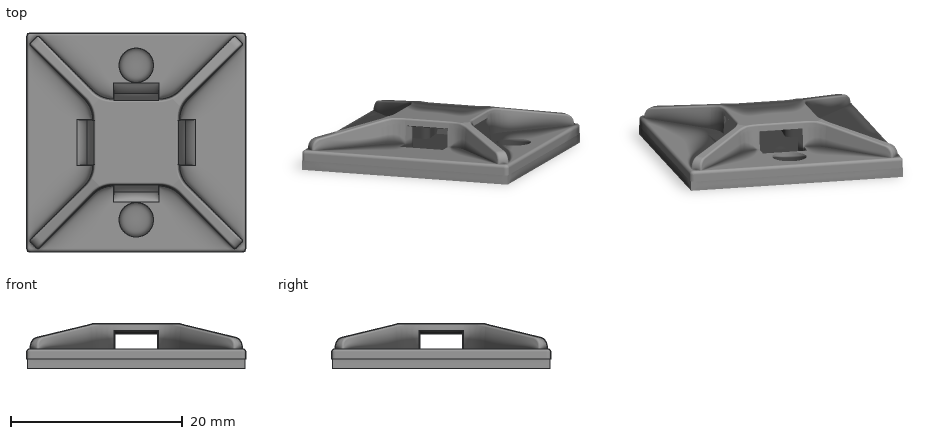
import cadquery as cq
import math

base_side = 25.53
overall_height = 5.25
pad_side = 25.4
pad_thickness = 1.1

base_thickness = 1.2
base_top = pad_thickness + base_thickness
base_corner_radius = 0.45
base_rim_radius = 0.36

dome_half_side = 5.16
rib_half_width = 0.8
wall_draft = 4
neck_radius = 3.2
edge_radius = 0.22
rib_slope = 9.8
rib_slope_start = 6.6
rib_end = 16.92
rib_end_radius = 1.15
rib_blank_end = rib_end + 0.5
dome_height = overall_height - pad_thickness

floor_height = 1.35
throat_distance = 3.3
mouth_half_width = 2.6
throat_half_width = 2.45
mouth_ceiling = 4.5
throat_ceiling = 4.03
pillar_corner_radius = 0.8
pocket_half_width = 2.67
pocket_reach = 6.93
pocket_floor_reach = 5.74

hole_diameter = 4.01
hole_offset = 9.0

quarter_turns = (0, 90, 180, 270)


def pad():
    return cq.Workplane("XY").rect(pad_side, pad_side).extrude(pad_thickness)


def base_plate():
    plate = cq.Workplane("XY").workplane(offset=pad_thickness)
    plate = plate.rect(base_side, base_side).extrude(base_thickness)
    plate = plate.edges("|Z").fillet(base_corner_radius)
    return plate.faces(">Z").edges().fillet(base_rim_radius)


def turned(point, angle):
    """A plan point turned about the centre by an angle in degrees."""
    a = math.radians(angle)
    x, y = point
    return (x * math.cos(a) - y * math.sin(a), x * math.sin(a) + y * math.cos(a))


def mirrored(point):
    """A plan point mirrored in the diagonal."""
    return (point[1], point[0])


def dome_blank():
    """Drafted four-pointed star of full height: the dome with its ribs."""
    half_bend = math.radians(22.5)
    corner = dome_half_side - rib_half_width * math.sqrt(2)
    tangent_length = neck_radius * math.tan(half_bend)
    wall_end = corner - tangent_length
    rib_step = tangent_length / math.sqrt(2)
    wall_point = (dome_half_side, wall_end)
    rib_point = (dome_half_side + rib_step, corner + rib_step)
    arc_middle = (
        dome_half_side + neck_radius * (1 - math.cos(half_bend)),
        wall_end + neck_radius * math.sin(half_bend),
    )
    right_tip = turned((rib_blank_end, -rib_half_width), 45)
    left_tip = turned((rib_blank_end, rib_half_width), 45)

    star = cq.Workplane("XY").workplane(offset=pad_thickness).moveTo(dome_half_side, -wall_end)
    for angle in quarter_turns:
        star = star.lineTo(*turned(wall_point, angle))
        star = star.threePointArc(turned(arc_middle, angle), turned(rib_point, angle))
        star = star.lineTo(*turned(right_tip, angle))
        star = star.lineTo(*turned(left_tip, angle))
        star = star.lineTo(*turned(mirrored(rib_point), angle))
        star = star.threePointArc(turned(mirrored(arc_middle), angle), turned(mirrored(wall_point), angle))
    return star.close().extrude(dome_height, taper=wall_draft)


def rib_envelope(angle):
    """Side profile of two opposite ribs, extruded across their diagonal."""
    slope = math.radians(rib_slope)
    centre_s = rib_end - rib_end_radius

    tangent_s = centre_s + rib_end_radius * math.sin(slope)
    tangent_z = overall_height - (tangent_s - rib_slope_start) * math.tan(slope)
    centre_z = tangent_z - rib_end_radius * math.cos(slope)
    half = math.radians((90 + rib_slope) / 2)
    middle = (centre_s + rib_end_radius * math.sin(half), centre_z + rib_end_radius * math.cos(half))
    profile = (
        cq.Workplane("XZ")
        .moveTo(-rib_end, pad_thickness)
        .lineTo(-rib_end, centre_z)
        .threePointArc((-middle[0], middle[1]), (-tangent_s, tangent_z))
        .lineTo(-rib_slope_start, overall_height)
        .lineTo(rib_slope_start, overall_height)
        .lineTo(tangent_s, tangent_z)
        .threePointArc(middle, (rib_end, centre_z))
        .lineTo(rib_end, pad_thickness)
        .close()
        .extrude(base_side, both=True)
    )
    return profile.rotate((0, 0, 0), (0, 0, 1), angle)


def is_upper_edge(edge):
    """True for the edges that run along the top of a dome wall or rib side."""
    middle = edge.positionAt(0.5)
    on_diagonal = abs(abs(middle.x) - abs(middle.y)) < rib_half_width / 2
    at_foot = middle.z < base_top
    upright = edge.geomType() == "LINE" and abs(edge.tangentAt(0.5).z) > 0.6
    return not (on_diagonal or at_foot or upright)


def dome():
    body = dome_blank()
    for angle in (45, -45):
        body = body.intersect(rib_envelope(angle))
    edges = [e for e in body.edges().vals() if is_upper_edge(e)]
    return body.newObject(edges).fillet(edge_radius)


def tapered_block(length, start_size, end_size):
    """Block along +X from the YZ plane, centred on Y, standing on Z = 0, with flat sloping sides.

    Each size is (width, height).
    """
    start_width, start_height = start_size
    end_width, end_height = end_size
    wedge = cq.Solid.makeWedge(
        start_width, length, start_height,
        (start_width - end_width) / 2, 0, (start_width + end_width) / 2, end_height,
    )
    block = cq.Workplane(wedge).translate((-start_width / 2, 0, 0))
    return block.rotate((0, 0, 0), (0, 0, 1), -90)


def tunnel_mouth():
    """Stretch of tunnel that widens and rises from the throat to the dome wall."""
    throat = (2 * throat_half_width, throat_ceiling - floor_height)
    mouth = (2 * mouth_half_width, mouth_ceiling - floor_height)
    block = tapered_block(dome_half_side - throat_distance, throat, mouth)
    return block.translate((throat_distance, 0, floor_height))


def strap_pocket():
    """Recess in the base plate whose outer wall slopes down to the tunnel floor."""
    floor = (2 * mouth_half_width, pocket_floor_reach - dome_half_side)
    rim = (2 * pocket_half_width, pocket_reach - dome_half_side)
    lying = tapered_block(base_top - floor_height, floor, rim)
    upright = lying.rotate((0, 0, 0), (0, 1, 0), 90).mirror("XY")
    return upright.translate((dome_half_side, 0, floor_height))


def crossing():
    """Cross-shaped room between the four pillars, with rounded pillar corners."""
    length = 2 * throat_distance
    width = 2 * throat_half_width
    room = cq.Workplane("XY").rect(length, width).extrude(throat_ceiling - floor_height)
    room = room.union(room.rotate((0, 0, 0), (0, 0, 1), 90))
    corner_reach = throat_half_width + pillar_corner_radius / 2
    box = cq.selectors.BoxSelector(
        (-corner_reach, -corner_reach, 0),
        (corner_reach, corner_reach, overall_height),
    )
    return room.edges("|Z").edges(box).fillet(pillar_corner_radius).translate((0, 0, floor_height))


def screw_holes():
    places = [(0, hole_offset), (0, -hole_offset)]
    return (
        cq.Workplane("XY")
        .workplane(offset=pad_thickness)
        .pushPoints(places)
        .circle(hole_diameter / 2)
        .extrude(base_thickness)
    )


def mount():
    body = base_plate().union(dome()).cut(crossing()).cut(screw_holes())
    for angle in quarter_turns:
        for tool in (tunnel_mouth(), strap_pocket()):
            body = body.cut(tool.rotate((0, 0, 0), (0, 0, 1), angle))
    return body


result = cq.Compound.makeCompound([mount().val(), pad().val()])